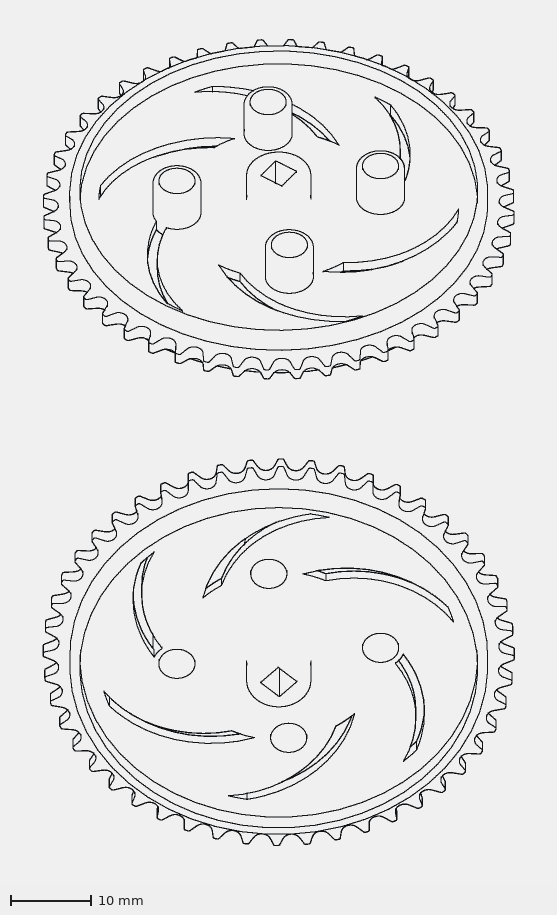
import cadquery as cq
import math

HUB_HEIGHT = 12.5
RIM_HEIGHT = 6.5
TOOTH_THICKNESS = 2.0
PLATE_THICKNESS = 1.5
PLATE_EDGE_THICKNESS = 2.0

RIM_RADIUS = 26.0
RIM_INNER_RADIUS = 24.75
RIM_FILLET = 0.5
FLAT_RADIUS = RIM_RADIUS * 2 / 3

HUB_RADIUS = 4.0
HUB_EDGE_FILLET = 0.35
HUB_BASE_FILLET = 1.0
SQUARE_HOLE_SIDE = 3.2
SQUARE_HOLE_ANGLE = 11.25

PEG_COUNT = 4
PEG_SPACING = 18.0
PEG_CIRCLE_RADIUS = PEG_SPACING / math.sqrt(2)
PEG_FIRST_ANGLE = 52.65
PEG_RADIUS = 3.0
PEG_HOLE_RADIUS = 2.25
PEG_FILLET = 0.5

TOOTH_COUNT = 48
TOOTH_PITCH_ANGLE = 360 / TOOTH_COUNT
FIRST_GAP_ANGLE = 2.49
TIP_RADIUS = 29.3
PITCH_RADIUS = 28.57
ROLLER_RADIUS = 1.15
FLANK_TILT = 25.0
TOOTH_BEVEL_RADIUS = 27.95
TOOTH_TIP_THICKNESS = 1.6
TIP_CORNER_FILLET = 0.25

SLOT_COUNT = 6
SLOT_START_RADIUS = 13.0
SLOT_END_RADIUS = 22.4
SLOT_OUTER_ARC_RADIUS = 16.55
SLOT_OUTER_ARC_CENTER = (1.85, 8.71)
SLOT_INNER_ARC_RADIUS = 14.9
SLOT_INNER_ARC_CENTER = (2.46, 9.45)


def disc(radius, height):
    """Cylinder on the Z axis, centred on Z = 0."""
    return cq.Workplane("XY").circle(radius).extrude(height / 2, both=True)


def disc_at(center, radius, height):
    return disc(radius, height).translate((center[0], center[1], 0))


def make_tooth_gap():
    """Cutter for one gap between teeth, centred on the X axis: a roller seat with straight flanks."""
    tilt = math.radians(FLANK_TILT)
    seat_x = PITCH_RADIUS - ROLLER_RADIUS * math.sin(tilt)
    seat_y = ROLLER_RADIUS * math.cos(tilt)
    mouth_x = TIP_RADIUS + ROLLER_RADIUS
    mouth_y = seat_y + (mouth_x - seat_x) * math.tan(tilt)
    return (
        cq.Workplane("XY")
        .moveTo(mouth_x, -mouth_y)
        .lineTo(seat_x, -seat_y)
        .threePointArc((PITCH_RADIUS - ROLLER_RADIUS, 0), (seat_x, seat_y))
        .lineTo(mouth_x, mouth_y)
        .close()
        .extrude(TOOTH_THICKNESS, both=True)
    )


def make_toothed_ring():
    """Ring with a bevelled outer edge, cut into teeth."""
    half = TOOTH_THICKNESS / 2
    half_tip = TOOTH_TIP_THICKNESS / 2
    blank = (
        cq.Workplane("XZ")
        .polyline(
            [
                (RIM_INNER_RADIUS, -half),
                (TOOTH_BEVEL_RADIUS, -half),
                (TIP_RADIUS, -half_tip),
                (TIP_RADIUS, half_tip),
                (TOOTH_BEVEL_RADIUS, half),
                (RIM_INNER_RADIUS, half),
            ]
        )
        .close()
        .revolve(360, (0, 0, 0), (0, 1, 0))
    )
    gap = make_tooth_gap()
    gaps = cq.Workplane("XY")
    for index in range(TOOTH_COUNT):
        angle = FIRST_GAP_ANGLE + index * TOOTH_PITCH_ANGLE
        gaps.add(gap.rotate((0, 0, 0), (0, 0, 1), angle).val())
    ring = blank.cut(cq.Workplane(cq.Compound.makeCompound(gaps.vals())))
    tip_corners = cq.selectors.BoxSelector(
        (-TIP_RADIUS, -TIP_RADIUS, -half_tip / 2), (TIP_RADIUS, TIP_RADIUS, half_tip / 2)
    )
    corner_edges = [
        edge
        for edge in ring.edges(tip_corners).edges("|Z").vals()
        if math.hypot(edge.Center().x, edge.Center().y) > PITCH_RADIUS
    ]
    return ring.newObject(corner_edges).fillet(TIP_CORNER_FILLET)


def make_rim():
    """Plain cylindrical band with rounded outer edges."""
    rim = disc(RIM_RADIUS, RIM_HEIGHT).faces("<Z or >Z").edges().fillet(RIM_FILLET)
    return rim.cut(disc(RIM_INNER_RADIUS, RIM_HEIGHT))


def make_plate():
    """Web inside the rim: flat in the middle, thickening towards the rim on both faces."""
    half = PLATE_THICKNESS / 2
    half_edge = PLATE_EDGE_THICKNESS / 2
    return (
        cq.Workplane("XZ")
        .polyline(
            [
                (0, -half),
                (FLAT_RADIUS, -half),
                (RIM_INNER_RADIUS, -half_edge),
                (RIM_INNER_RADIUS, half_edge),
                (FLAT_RADIUS, half),
                (0, half),
            ]
        )
        .close()
        .revolve(360, (0, 0, 0), (0, 1, 0))
    )


def make_slot():
    """Cutter for the first slot: the crescent between two arcs, trimmed to a range of radii."""
    outer_arc = disc_at(SLOT_OUTER_ARC_CENTER, SLOT_OUTER_ARC_RADIUS, RIM_HEIGHT)
    inner_arc = disc_at(SLOT_INNER_ARC_CENTER, SLOT_INNER_ARC_RADIUS, RIM_HEIGHT)
    band = disc(SLOT_END_RADIUS, RIM_HEIGHT).cut(disc(SLOT_START_RADIUS, RIM_HEIGHT))
    half_plane = (
        cq.Workplane("XY")
        .rect(2 * RIM_RADIUS, 2 * RIM_RADIUS)
        .extrude(RIM_HEIGHT, both=True)
        .translate((RIM_RADIUS + SLOT_INNER_ARC_CENTER[0], 0, 0))
    )
    return outer_arc.cut(inner_arc).intersect(band).intersect(half_plane)


def cut_slots(body):
    """Repeat the slot evenly around the plate."""
    slot = make_slot()
    for index in range(SLOT_COUNT):
        body = body.cut(slot.rotate((0, 0, 0), (0, 0, 1), index * 360 / SLOT_COUNT))
    return body


def add_hub(plate):
    """Hub standing out on both faces of the plate, blended into each by a fillet."""
    hub = disc(HUB_RADIUS, HUB_HEIGHT).faces("<Z or >Z").edges().fillet(HUB_EDGE_FILLET)
    body = plate.union(hub)
    base_edges = [
        edge
        for edge in body.edges("%CIRCLE").vals()
        if math.isclose(edge.radius(), HUB_RADIUS) and abs(edge.Center().z) < PLATE_THICKNESS
    ]
    return body.newObject(base_edges).fillet(HUB_BASE_FILLET)


def cut_square_hole(body):
    """Drive hole through the full height of the hub."""
    hole = (
        cq.Workplane("XY")
        .rect(SQUARE_HOLE_SIDE, SQUARE_HOLE_SIDE)
        .extrude(HUB_HEIGHT, both=True)
        .rotate((0, 0, 0), (0, 0, 1), SQUARE_HOLE_ANGLE)
    )
    return body.cut(hole)


def add_pegs(body):
    """Hollow pegs rising from the underside of the plate to the top of the hub."""
    bottom = -PLATE_THICKNESS / 2
    for index in range(PEG_COUNT):
        angle = math.radians(PEG_FIRST_ANGLE + index * 360 / PEG_COUNT)
        center = (PEG_CIRCLE_RADIUS * math.cos(angle), PEG_CIRCLE_RADIUS * math.sin(angle))
        base = cq.Workplane("XY").workplane(offset=bottom).center(*center)
        peg = base.circle(PEG_RADIUS).extrude(HUB_HEIGHT / 2 - bottom)
        peg = peg.faces(">Z").edges().fillet(PEG_FILLET)
        hole = base.circle(PEG_HOLE_RADIUS).extrude(HUB_HEIGHT)
        body = body.union(peg).cut(hole)
    return body


wheel = add_hub(make_plate()).union(make_rim()).union(make_toothed_ring())
wheel = cut_slots(wheel)
wheel = cut_square_hole(wheel)
result = add_pegs(wheel)